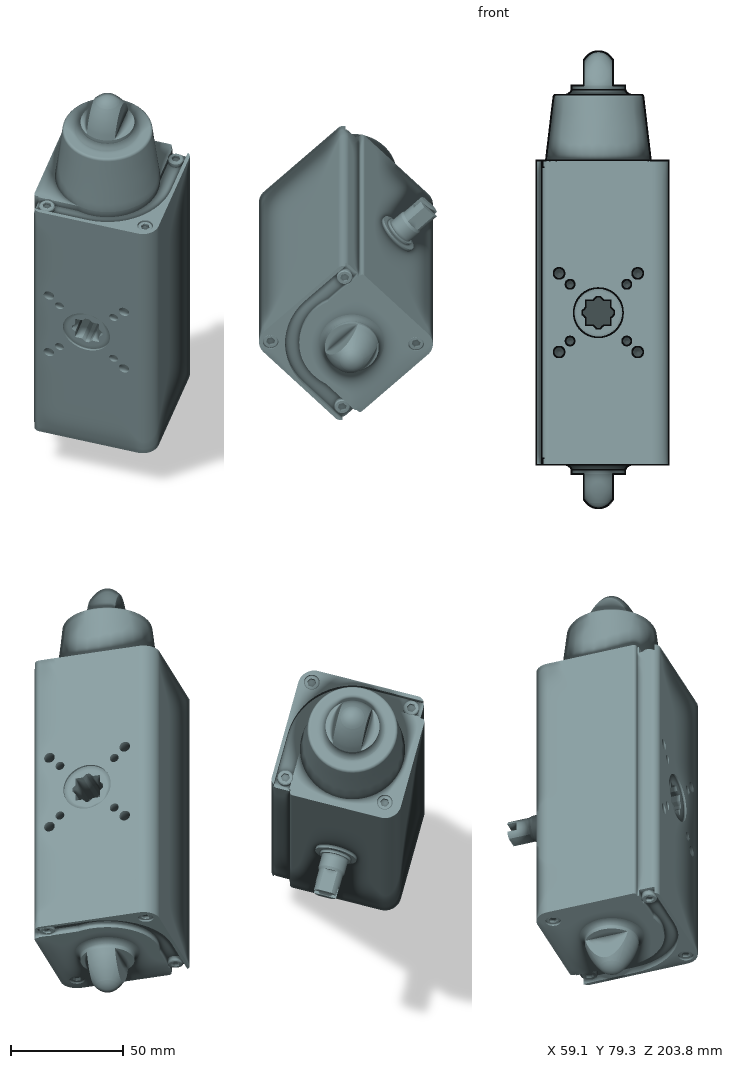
import cadquery as cq
import math


block_height = 135.7
near_side = 27.7
far_side = 31.4
notch_inner = 21.8
notch_outer = 25.3
main_corner_radius = 7.3
notch_lip_radius = 1.5
notch_outer_radius = 3.3

pocket_depth = 3.0
pocket_inner = 22.5
pocket_outer = 29.8

screw_pitch = 45.9
screw_shift = 2.6
head_diameter = 7.0
head_recess = 0.6
head_chamfer = 0.5
socket_diameter = 4.0
socket_depth = 1.5

dome_base_radius = 23.5
dome_top_radius = 20.0
dome_height = 29.3
dome_edge_radius = 1.2

flare_radius = 15.5
collar_radius = 12.0
flare_height = 2.0
shoulder_height = 4.0
nose_mid_radius = 9.2
nose_mid_height = 11.5
tip_radius = 5.3
tip_height = 17.0
nose_height = 19.4
blade_thickness = 13.0

outer_hole_diameter = 4.9
outer_hole_pitch = 35.0
inner_hole_diameter = 4.0
inner_hole_pitch = 25.3
thread_depth = 8.2
drill_point_angle = 118

shaft_diameter = 22.0
shaft_recess = 1.0
star_square = 11.2
star_tip_diameter = 14.3
star_depth = 20.4
flange_diameter = 19.0
flange_thickness = 1.5
step_diameter = 14.0
step_thickness = 1.2
neck_diameter = 12.0
neck_length = 6.1
neck_chamfer_length = 1.2
drive_diameter = 11.0
drive_flats = 9.2
drive_length = 10.2
slot_width = 4.0
slot_depth = 4.5

half_height = block_height / 2
oversize = 4 * far_side


def both_ends(upper):
    """The given shape together with its copy mirrored about the XY plane."""
    return [upper, upper.mirror("XY")]


def make_block():
    outline = [
        (-near_side, near_side),
        (notch_inner, near_side),
        (notch_inner, notch_outer),
        (far_side, notch_outer),
        (far_side, -far_side),
        (-notch_outer, -far_side),
        (-notch_outer, -notch_inner),
        (-near_side, -notch_inner),
    ]
    block = cq.Workplane("XY").polyline(outline).close().extrude(half_height, both=True)
    rounded_corners = [
        (-near_side, near_side, main_corner_radius),
        (far_side, -far_side, main_corner_radius),
        (notch_inner, near_side, notch_lip_radius),
        (-near_side, -notch_inner, notch_lip_radius),
        (far_side, notch_outer, notch_outer_radius),
        (-notch_outer, -far_side, notch_outer_radius),
    ]
    for x, y, radius in rounded_corners:
        block = block.edges(cq.selectors.NearestToPointSelector((x, y, 0))).fillet(radius)
    return block


def end_pocket():
    """Upper pocket: leaves a raised rounded square and a raised round pad under the dome."""
    floor = cq.Workplane("XY").workplane(offset=half_height - pocket_depth)
    pocket_mid = half_height - pocket_depth / 2
    corner_area = (
        floor.center(pocket_outer - oversize / 2, oversize / 2 - pocket_outer)
        .rect(oversize, oversize)
        .extrude(pocket_depth)
        .edges(cq.selectors.NearestToPointSelector((pocket_outer, -pocket_outer, pocket_mid)))
        .fillet(pocket_outer)
    )
    raised_square = (
        floor.center(pocket_inner - oversize / 2, oversize / 2 - pocket_inner)
        .rect(oversize, oversize)
        .extrude(pocket_depth)
        .edges(cq.selectors.NearestToPointSelector((pocket_inner, -pocket_inner, pocket_mid)))
        .fillet(pocket_inner)
    )
    raised_pad = floor.circle(dome_base_radius).extrude(pocket_depth)
    return corner_area.cut(raised_square).cut(raised_pad)


def screw_pattern(height):
    return (
        cq.Workplane("XY")
        .workplane(offset=height)
        .center(screw_shift, -screw_shift)
        .rect(screw_pitch, screw_pitch, forConstruction=True)
        .vertices()
    )


def screw_recesses():
    return screw_pattern(half_height - pocket_depth).circle(head_diameter / 2).extrude(pocket_depth)


def screw_heads():
    head_top = half_height - head_recess
    head_height = pocket_depth - head_recess
    heads = (
        screw_pattern(half_height - pocket_depth)
        .circle(head_diameter / 2)
        .extrude(head_height)
        .faces(">Z")
        .edges()
        .chamfer(head_chamfer)
    )
    sockets = screw_pattern(head_top - socket_depth).polygon(6, socket_diameter).extrude(socket_depth)
    return heads.cut(sockets)


def dome():
    return (
        cq.Workplane("XY")
        .workplane(offset=half_height)
        .circle(dome_base_radius)
        .workplane(offset=dome_height)
        .circle(dome_top_radius)
        .loft(ruled=True)
        .faces(">Z")
        .edges()
        .fillet(dome_edge_radius)
    )


def nose(base_height):
    """Ogive cap with a concave flare at its foot, flattened to a blade above the shoulder."""
    flare_width = flare_radius - collar_radius
    flare_mid = (
        collar_radius + flare_width * (1 - math.sin(math.pi / 4)),
        flare_height * (1 - math.cos(math.pi / 4)),
    )
    tip_sphere_radius = (tip_radius**2 + (nose_height - tip_height) ** 2) / (2 * (nose_height - tip_height))
    half_cap_angle = math.asin(tip_radius / tip_sphere_radius) / 2
    tip_mid = (
        tip_sphere_radius * math.sin(half_cap_angle),
        nose_height - tip_sphere_radius * (1 - math.cos(half_cap_angle)),
    )
    cap = (
        cq.Workplane("XZ")
        .lineTo(flare_radius, 0)
        .threePointArc(flare_mid, (collar_radius, flare_height))
        .lineTo(collar_radius, shoulder_height)
        .threePointArc((nose_mid_radius, nose_mid_height), (tip_radius, tip_height))
        .threePointArc(tip_mid, (0, nose_height))
        .close()
        .revolve(360, (0, 0, 0), (0, 1, 0))
    )
    for side in (-1, 1):
        flat = cq.Workplane("XY").box(flare_radius, oversize, nose_height, centered=(True, True, False))
        cap = cap.cut(flat.translate((side * (blade_thickness + flare_radius) / 2, 0, shoulder_height)))
    return cap.translate((0, 0, base_height))


def threaded_holes(pitch, diameter):
    """Four blind holes with conical drill points, square pattern on the -Y side."""
    radius = diameter / 2
    point_length = radius / math.tan(math.radians(drill_point_angle / 2))
    hole = (
        cq.Workplane("XY")
        .moveTo(0, -far_side)
        .lineTo(radius, -far_side)
        .lineTo(radius, thread_depth - far_side)
        .lineTo(0, thread_depth + point_length - far_side)
        .close()
        .revolve(360, (0, 0, 0), (0, 1, 0))
    )
    return [hole.translate((x, 0, z)) for x in (-pitch / 2, pitch / 2) for z in (-pitch / 2, pitch / 2)]


def make_housing():
    body = make_block()
    for tool in both_ends(end_pocket()) + both_ends(screw_recesses()):
        body = body.cut(tool)
    upper_nose = nose(half_height + dome_height)
    lower_nose = nose(half_height).mirror("XY")
    for added in both_ends(screw_heads()) + [dome(), upper_nose, lower_nose]:
        body = body.union(added)
    holes = threaded_holes(outer_hole_pitch, outer_hole_diameter)
    holes += threaded_holes(inner_hole_pitch, inner_hole_diameter)
    for hole in holes:
        body = body.cut(hole)
    bore = cq.Workplane("XZ").circle(shaft_diameter / 2).extrude(oversize, both=True)
    return body.cut(bore)


def star_socket(front):
    """Eight-pointed socket: an upright square and a diamond with blunted tips."""
    plane = cq.Workplane("XZ", origin=(0, front + star_depth, 0))
    square = plane.rect(star_square, star_square).extrude(star_depth)
    diamond = square.rotate((0, 0, 0), (0, 1, 0), 45)
    tip_limit = plane.circle(star_tip_diameter / 2).extrude(star_depth)
    return square.union(diamond.intersect(tip_limit))


def make_shaft():
    front = shaft_recess - far_side
    flange_end = near_side + flange_thickness
    step_end = flange_end + step_thickness
    neck_end = step_end + neck_length
    drive_start = neck_end + neck_chamfer_length
    drive_end = drive_start + drive_length
    profile = [
        (0, front),
        (shaft_diameter / 2, front),
        (shaft_diameter / 2, near_side),
        (flange_diameter / 2, near_side),
        (flange_diameter / 2, flange_end),
        (step_diameter / 2, flange_end),
        (step_diameter / 2, step_end),
        (neck_diameter / 2, step_end),
        (neck_diameter / 2, neck_end),
        (drive_diameter / 2, drive_start),
        (drive_diameter / 2, drive_end),
        (0, drive_end),
    ]
    shaft = cq.Workplane("XY").polyline(profile).close().revolve(360, (0, 0, 0), (0, 1, 0))
    for side in (-1, 1):
        flat = cq.Workplane("XY").box(drive_diameter, drive_length, drive_diameter)
        flat_height = side * (drive_flats + drive_diameter) / 2
        shaft = shaft.cut(flat.translate((0, drive_start + drive_length / 2, flat_height)))
    slot = cq.Workplane("XY").box(drive_diameter, slot_depth, slot_width)
    shaft = shaft.cut(slot.translate((0, drive_end - slot_depth / 2, 0)))
    return shaft.cut(star_socket(front))


housing = make_housing()
shaft = make_shaft()
result = cq.Compound.makeCompound([housing.val(), shaft.val()])